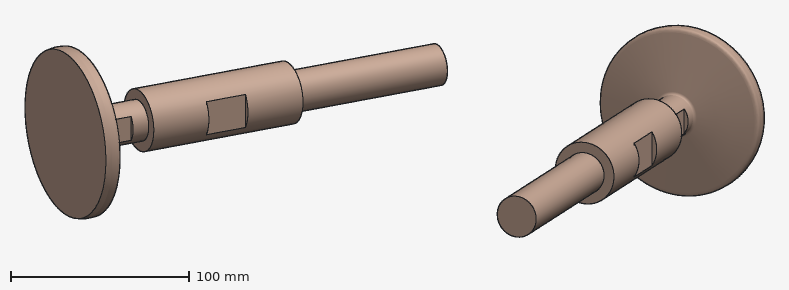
import cadquery as cq
import math

TOTAL_LENGTH = 237.0

SPINDLE_RADIUS = 24.0 / 2
SPINDLE_ACROSS_FLATS = 19.2
SPINDLE_FLAT_LENGTH = 12.8
SPINDLE_FLAT_START = 24.0

RIM_RADIUS = 98.0 / 2
RIM_TOP_RADIUS = 97.9 / 2
SOLE_RADIUS = 48.3
RIM_START = 3.8
RIM_END = 7.3
SHOULDER_RADIUS = 46.7
SHOULDER_HEIGHT = 9.7
NECK_FILLET_START = 16.5
NECK_FILLET_END = 15.2
NECK_FILLET_RADIUS = 13.5

SLEEVE_RADIUS = 36.0 / 2
SLEEVE_START = 46.7
SLEEVE_LENGTH = 95.0
SLEEVE_ACROSS_FLATS = 30.0
SLEEVE_FLAT_LENGTH = 25.0
SLEEVE_FLAT_START = SLEEVE_START + (SLEEVE_LENGTH - SLEEVE_FLAT_LENGTH) / 2


def cylinder(radius, start, length):
    """Cylinder along +Y that begins at Y = start."""
    return cq.Workplane(cq.Solid.makeCylinder(radius, length, cq.Vector(0, start, 0), cq.Vector(0, 1, 0)))


def cut_flats(body, radius, across_flats, start, length):
    """Cut a pair of opposite wrench flats, facing -X and +X, into a round body."""
    depth = radius - across_flats / 2
    for side in (-1, 1):
        cutter = (
            cq.Workplane()
            .box(2 * depth, length, 2 * radius)
            .translate((side * (across_flats / 2 + depth), start + length / 2, 0))
        )
        body = body.cut(cutter)
    return body


def make_spindle():
    """Spindle and conical foot disc, turned as one piece."""
    cone_slope = (SHOULDER_HEIGHT - NECK_FILLET_END) / (SHOULDER_RADIUS - NECK_FILLET_RADIUS)
    cone_angle = math.atan(cone_slope)
    cone_direction = (math.cos(cone_angle), math.sin(cone_angle))
    profile = (
        cq.Workplane("XY")
        .lineTo(SOLE_RADIUS, 0)
        .lineTo(RIM_RADIUS, RIM_START)
        .lineTo(RIM_TOP_RADIUS, RIM_END)
        .spline(
            [(SHOULDER_RADIUS, SHOULDER_HEIGHT)],
            tangents=[(0, 1), (-cone_direction[0], -cone_direction[1])],
            includeCurrent=True,
        )
        .lineTo(NECK_FILLET_RADIUS, NECK_FILLET_END)
        .tangentArcPoint((SPINDLE_RADIUS, NECK_FILLET_START), relative=False)
        .lineTo(SPINDLE_RADIUS, TOTAL_LENGTH)
        .lineTo(0, TOTAL_LENGTH)
        .close()
    )
    turned = profile.revolve(360, (0, 0, 0), (0, 1, 0))
    return cut_flats(turned, SPINDLE_RADIUS, SPINDLE_ACROSS_FLATS, SPINDLE_FLAT_START, SPINDLE_FLAT_LENGTH)


def make_sleeve():
    """Plain sleeve bored to the spindle diameter, with wrench flats at mid-length."""
    outside = cylinder(SLEEVE_RADIUS, SLEEVE_START, SLEEVE_LENGTH)
    bore = cylinder(SPINDLE_RADIUS, SLEEVE_START, SLEEVE_LENGTH)
    sleeve = outside.cut(bore)
    return cut_flats(sleeve, SLEEVE_RADIUS, SLEEVE_ACROSS_FLATS, SLEEVE_FLAT_START, SLEEVE_FLAT_LENGTH)


spindle = make_spindle()
sleeve = make_sleeve()

result = cq.Compound.makeCompound([spindle.val(), sleeve.val()])